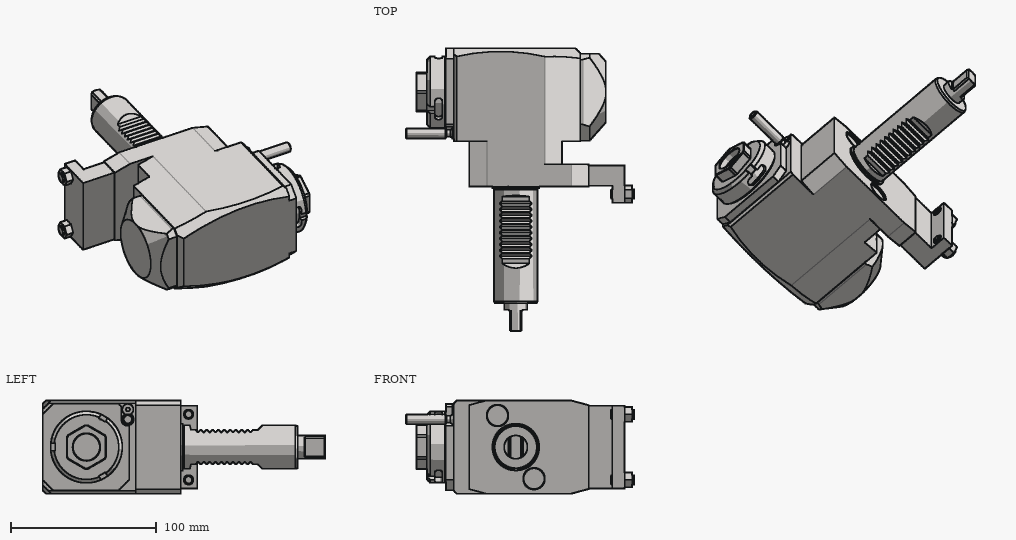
import cadquery as cq
import math


HALF_HEIGHT = 32.0
SLOPE = math.tan(math.radians(15))
FOOT_LEFT = -32.0
FOOT_RIGHT = 50.0
FOOT_THICKNESS = 15.3
FOOT_TAPER_LENGTH = 12.0
NECK_RIGHT = 31.7
SHOULDER_Y = 31.0
HEAD_LEFT = -42.4
HEAD_RIGHT = 44.2
HEAD_BACK = 94.9
HEAD_EDGE_CHAMFER = 1.9
HEAD_CORNER_CHAMFER = 3.3
SLOPE_START = 20.0
CROWN_CENTRE_X = -10.5
CROWN_RADIUS = 133.0
CROWN_BACK = 92.6

SPINDLE_Y = 64.8
CAP_RADIUS = 33.5
CAP_CONE_START = 50.6
CAP_END = 61.7
CAP_END_RADIUS = 21.0
CAP_BACK = 91.1
CAP_SEAT_HALF_HEIGHT = 25.1

PLATE_LEFT = -47.9
PLATE_FRONT = 35.5
PLATE_HALF_HEIGHT = 29.6
PLATE_CORNER = 7.2

RING_LEFT = -61.0
RING_RADIUS = 24.6
RING_FRONT_CHAMFER = 2.4
RING_BACK_CHAMFER = 0.8
RING_NOTCH_FLOOR = 21.4
RING_SLOT_FLOOR = 20.8
RING_SLOT_COUNT = 3
RING_SLOT_X = -52.9
RING_SLOT_WIDTH = 5.2
RING_SLOT_LENGTH = 17.0
RING_NOTCH_WIDTH = 5.3
NUT_LEFT = -68.2
NUT_ACROSS_FLATS = 27.0
NUT_TURNED_DIAMETER = 30.2
NUT_CHAMFER = 0.45
NUT_BORE_DIAMETER = 18.3
NUT_BORE_DEPTH = 5.0
NUT_BORE_CHAMFER = 0.4

PIN_Y = 36.4
PIN_Z = 19.0
PIN_TIP = -75.3
PIN_RADIUS = 3.5
PIN_CHAMFER = 0.7
PIN_SHOULDER = -48.3
PIN_NECK_START = -47.4
PIN_NECK_END = -44.8
PIN_NECK_RADIUS = 2.4
PIN_BASE_RADIUS = 4.0
POCKET_RADIUS = 4.5
SCREW_Z = 25.8
SCREW_HEAD_DIAMETER = 7.6
SCREW_HEAD_HEIGHT = 1.0
SCREW_SOCKET_DIAMETER = 3.0
SCREW_SOCKET_DEPTH = 0.8

SHANK_RADIUS = 15.0
SHANK_LENGTH = 80.0
SHANK_TOP_CHAMFER = 0.9
SHANK_END_CHAMFER_LENGTH = 1.5
SHANK_END_CHAMFER_DEPTH = 0.6
COLLAR_RADIUS = 16.1
COLLAR_HEIGHT = 1.3
TANG_RADIUS = 8.0
TANG_SHOULDER = 5.3
TANG_END = 99.1
TANG_HALF_WIDTH = 4.2
TANG_END_CHAMFER = 0.9
TANG_FLAT_HALF_HEIGHT = 6.2
TANG_ROOT_FLARE = 0.8

FLAT_HEIGHT = 11.8
FLAT_START = 6.9
FLAT_START_RUN = 0.8
FLAT_END = 52.7
TOOTH_DEPTH = 1.7
TOOTH_PITCH = 4.0
FIRST_VALLEY = 11.7
VALLEY_COUNT = 10

RECESS_PITCH_RADIUS = 25.0
RECESS_DIAMETER = 14.2
RECESS_CHAMFER = 0.4
RECESS_DEPTH = 1.5
RECESS_ANGLES = (120, 300)

BRACKET_HALF_HEIGHT = 28.4
BRACKET_FRONT = 0.5
BRACKET_BACK = 14.5
BRACKET_RIGHT = 74.6
BRACKET_LEG_LEFT = 66.3
BRACKET_LEG_FRONT = -11.2
STUD_Y = -5.2
STUD_Z = 22.5
STUD_DIAMETER = 6.5
STUD_CHAMFER = 0.8
STUD_LEFT = 65.0
STUD_RIGHT = 81.08
STUD_NUT_RIGHT = 79.7
STUD_NUT_ACROSS_FLATS = 10.3


def symmetric_prism(upper_points, y_front, y_back):
    """Prism along Y whose XZ outline is the given upper edge and its mirror image below Z = 0."""
    lower_points = [(x, -z) for x, z in reversed(upper_points)]
    plane = cq.Workplane("XZ", origin=(0, y_back, 0))
    return plane.polyline(upper_points + lower_points).close().extrude(y_back - y_front)


def cylinder_x(diameter, x_start, x_end, y, z):
    """Cylinder parallel to X."""
    plane = cq.Workplane("YZ", origin=(x_start, y, z))
    return plane.circle(diameter / 2).extrude(x_end - x_start)


def turned_x(profile, y, z):
    """Solid turned about a line parallel to X; the profile lists (x, radius) pairs."""
    plane = cq.Workplane("XY", origin=(0, y, z))
    return plane.polyline(profile).close().revolve(360, (0, 0, 0), (1, 0, 0))


def sloped_half_height(x):
    return HALF_HEIGHT - (x - SLOPE_START) * SLOPE


def make_foot_and_neck():
    taper_drop = FOOT_TAPER_LENGTH * SLOPE
    left_edge = [
        (FOOT_LEFT, HALF_HEIGHT - taper_drop),
        (FOOT_LEFT + FOOT_TAPER_LENGTH, HALF_HEIGHT),
    ]
    foot_right_edge = [
        (FOOT_RIGHT - FOOT_TAPER_LENGTH, HALF_HEIGHT),
        (FOOT_RIGHT, HALF_HEIGHT - taper_drop),
    ]
    neck_right_edge = [
        (SLOPE_START, HALF_HEIGHT),
        (NECK_RIGHT, sloped_half_height(NECK_RIGHT)),
    ]
    foot = symmetric_prism(left_edge + foot_right_edge, 0, FOOT_THICKNESS)
    neck = symmetric_prism(left_edge + neck_right_edge, 0, SHOULDER_Y)
    return foot.union(neck)


def make_head():
    outline = [
        (HEAD_LEFT, HALF_HEIGHT - HEAD_EDGE_CHAMFER),
        (HEAD_LEFT + HEAD_EDGE_CHAMFER, HALF_HEIGHT),
        (SLOPE_START, HALF_HEIGHT),
        (HEAD_RIGHT, sloped_half_height(HEAD_RIGHT)),
    ]
    head = symmetric_prism(outline, SHOULDER_Y, HEAD_BACK)
    head = head.edges(cq.selectors.NearestToPointSelector((HEAD_RIGHT, HEAD_BACK, 0)))
    head = head.chamfer(HEAD_CORNER_CHAMFER)

    cone_apex = CROWN_RADIUS + HALF_HEIGHT
    crown = (
        cq.Workplane("XZ", origin=(CROWN_CENTRE_X, CROWN_BACK - CROWN_RADIUS, 0))
        .polyline([(0, cone_apex), (cone_apex, 0), (0, -cone_apex)])
        .close()
        .revolve(360, (0, 0, 0), (0, 1, 0))
    )
    return head.intersect(crown)


def make_cap():
    cap = turned_x(
        [
            (HEAD_RIGHT, 0),
            (HEAD_RIGHT, CAP_RADIUS),
            (CAP_CONE_START, CAP_RADIUS),
            (CAP_END, CAP_END_RADIUS),
            (CAP_END, 0),
        ],
        SPINDLE_Y,
        0,
    )
    seat_end = SLOPE_START + (HALF_HEIGHT - CAP_SEAT_HALF_HEIGHT) / SLOPE
    envelope = symmetric_prism(
        [
            (HEAD_RIGHT, CAP_SEAT_HALF_HEIGHT),
            (seat_end, CAP_SEAT_HALF_HEIGHT),
            (CAP_END, sloped_half_height(CAP_END)),
        ],
        SPINDLE_Y - CAP_RADIUS,
        CAP_BACK,
    )
    return cap.intersect(envelope)


def make_plate():
    plate = cq.Workplane("XY").box(
        HEAD_LEFT - PLATE_LEFT,
        HEAD_BACK - PLATE_FRONT,
        2 * PLATE_HALF_HEIGHT,
        centered=(False, False, True),
    )
    plate = plate.edges("|X").chamfer(PLATE_CORNER)
    return plate.translate((PLATE_LEFT, PLATE_FRONT, 0)).cut(make_pin_pocket())


def make_pin_pocket():
    """Round-bottomed pocket through the plate, open toward +Z."""
    depth = HEAD_LEFT - PLATE_LEFT
    bottom = cylinder_x(2 * POCKET_RADIUS, PLATE_LEFT, HEAD_LEFT, PIN_Y, PIN_Z)
    sides = cq.Workplane("XY").box(
        depth, 2 * POCKET_RADIUS, HALF_HEIGHT - PIN_Z, centered=(False, True, False)
    )
    return bottom.union(sides.translate((PLATE_LEFT, PIN_Y, PIN_Z)))


def make_pin_and_screw():
    pin = turned_x(
        [
            (PIN_TIP, 0),
            (PIN_TIP, PIN_RADIUS - PIN_CHAMFER),
            (PIN_TIP + PIN_CHAMFER, PIN_RADIUS),
            (PIN_SHOULDER, PIN_RADIUS),
            (PIN_NECK_START, PIN_NECK_RADIUS),
            (PIN_NECK_END, PIN_NECK_RADIUS),
            (HEAD_LEFT, PIN_BASE_RADIUS),
            (HEAD_LEFT, 0),
        ],
        PIN_Y,
        PIN_Z,
    )
    head_face = HEAD_LEFT - SCREW_HEAD_HEIGHT
    screw = cylinder_x(SCREW_HEAD_DIAMETER, head_face, HEAD_LEFT, PIN_Y, SCREW_Z)
    socket = (
        cq.Workplane("YZ", origin=(head_face, PIN_Y, SCREW_Z))
        .polygon(6, SCREW_SOCKET_DIAMETER)
        .extrude(SCREW_SOCKET_DEPTH)
    )
    return pin.union(screw.cut(socket))


def make_ring_opening():
    """Round-floored slot along the rim with a notch to the front face, on the +Y side."""
    slot = (
        cq.Workplane("XZ", origin=(RING_SLOT_X, SPINDLE_Y, 0))
        .slot2D(RING_SLOT_LENGTH, RING_SLOT_WIDTH, 90)
        .extrude(-RING_RADIUS)
    )
    slot = slot.cut(cylinder_x(2 * RING_SLOT_FLOOR, RING_LEFT, PLATE_LEFT, SPINDLE_Y, 0))
    notch = cq.Workplane("XY").box(
        RING_SLOT_X - RING_LEFT,
        RING_RADIUS - RING_NOTCH_FLOOR,
        RING_NOTCH_WIDTH,
        centered=(False, False, True),
    )
    return slot.union(notch.translate((RING_LEFT, SPINDLE_Y + RING_NOTCH_FLOOR, 0)))


def make_ring():
    ring = cylinder_x(2 * RING_RADIUS, RING_LEFT, PLATE_LEFT, SPINDLE_Y, 0)
    ring = ring.faces("<X").chamfer(RING_FRONT_CHAMFER)
    ring = ring.faces(">X").chamfer(RING_BACK_CHAMFER)
    opening = make_ring_opening()
    for index in range(RING_SLOT_COUNT):
        angle = index * 360 / RING_SLOT_COUNT
        ring = ring.cut(opening.rotate((0, SPINDLE_Y, 0), (1, SPINDLE_Y, 0), angle))
    return ring


def make_nut():
    """Hexagon nut with two corners at +Z and -Z, all corners turned down, and a blind bore."""
    corner_diameter = NUT_ACROSS_FLATS / math.cos(math.radians(30))
    nut = (
        cq.Workplane("YZ", origin=(NUT_LEFT, SPINDLE_Y, 0))
        .transformed(rotate=(0, 0, 30))
        .polygon(6, corner_diameter)
        .extrude(RING_LEFT - NUT_LEFT)
    )
    nut = nut.intersect(cylinder_x(NUT_TURNED_DIAMETER, NUT_LEFT, RING_LEFT, SPINDLE_Y, 0))
    nut = nut.faces("<X").chamfer(NUT_CHAMFER)
    bore = cylinder_x(NUT_BORE_DIAMETER, NUT_LEFT, NUT_LEFT + NUT_BORE_DEPTH, SPINDLE_Y, 0)
    nut = nut.cut(bore)
    rim = nut.faces("<X").edges("%CIRCLE").edges(cq.selectors.RadiusNthSelector(0))
    return rim.chamfer(NUT_BORE_CHAMFER)


def make_serration_cutter():
    """Material above the serrated flat on the +Z side of the shank."""
    flat_start_top = FLAT_START - FLAT_START_RUN
    end_rise = SHANK_RADIUS - FLAT_HEIGHT
    points = [(-flat_start_top, SHANK_RADIUS), (-FLAT_START, FLAT_HEIGHT)]
    for index in range(VALLEY_COUNT):
        valley = FIRST_VALLEY + index * TOOTH_PITCH
        points.append((-valley + TOOTH_DEPTH, FLAT_HEIGHT))
        points.append((-valley, FLAT_HEIGHT - TOOTH_DEPTH))
        points.append((-valley - TOOTH_DEPTH, FLAT_HEIGHT))
    points.append((-FLAT_END, FLAT_HEIGHT))
    points.append((-FLAT_END - end_rise, SHANK_RADIUS))
    return cq.Workplane("YZ").polyline(points).close().extrude(SHANK_RADIUS, both=True)


def make_tang():
    """Flat driving tang with bevelled edges, widening at its root."""
    root = -SHANK_LENGTH - TANG_SHOULDER
    flare_half_width = TANG_HALF_WIDTH + TANG_ROOT_FLARE
    end_half_width = TANG_HALF_WIDTH - TANG_END_CHAMFER
    right_side = [
        (TANG_HALF_WIDTH, root),
        (TANG_HALF_WIDTH, -TANG_END + TANG_END_CHAMFER),
        (end_half_width, -TANG_END),
    ]
    left_side = [(-x, y) for x, y in reversed(right_side)]
    tang = cq.Workplane("XY").polyline(right_side + left_side).close()
    tang = tang.extrude(TANG_RADIUS, both=True)
    tang = tang.edges("|Y").chamfer(TANG_RADIUS - TANG_FLAT_HALF_HEIGHT)
    flare = (
        cq.Workplane("XY")
        .polyline(
            [
                (flare_half_width, root + TANG_ROOT_FLARE),
                (TANG_HALF_WIDTH, root),
                (-TANG_HALF_WIDTH, root),
                (-flare_half_width, root + TANG_ROOT_FLARE),
            ]
        )
        .close()
        .extrude(TANG_RADIUS, both=True)
    )
    round_bar = cq.Workplane("XZ").circle(TANG_RADIUS).extrude(TANG_END)
    return tang.union(flare).intersect(round_bar)


def make_shank():
    shoulder = -SHANK_LENGTH - TANG_SHOULDER + TANG_ROOT_FLARE
    profile = [
        (0, 0),
        (COLLAR_RADIUS, 0),
        (COLLAR_RADIUS, -COLLAR_HEIGHT),
        (SHANK_RADIUS - SHANK_TOP_CHAMFER, -COLLAR_HEIGHT),
        (SHANK_RADIUS, -COLLAR_HEIGHT - SHANK_TOP_CHAMFER),
        (SHANK_RADIUS, -SHANK_LENGTH + SHANK_END_CHAMFER_LENGTH),
        (SHANK_RADIUS - SHANK_END_CHAMFER_DEPTH, -SHANK_LENGTH),
        (TANG_RADIUS, -SHANK_LENGTH),
        (TANG_RADIUS, shoulder),
        (0, shoulder),
    ]
    shank = cq.Workplane("XY").polyline(profile).close().revolve(360, (0, 0, 0), (0, 1, 0))
    serration = make_serration_cutter()
    shank = shank.cut(serration).cut(serration.mirror("XY"))
    return shank.union(make_tang())


def make_bracket():
    outline = [
        (FOOT_RIGHT, BRACKET_FRONT),
        (BRACKET_LEG_LEFT, BRACKET_FRONT),
        (BRACKET_LEG_LEFT, BRACKET_LEG_FRONT),
        (BRACKET_RIGHT, BRACKET_LEG_FRONT),
        (BRACKET_RIGHT, BRACKET_BACK),
        (FOOT_RIGHT, BRACKET_BACK),
    ]
    bracket = cq.Workplane("XY").polyline(outline).close().extrude(BRACKET_HALF_HEIGHT, both=True)
    for z in (STUD_Z, -STUD_Z):
        bracket = bracket.union(make_stud(z))
    return bracket


def make_stud(z):
    """Stud through the bracket leg with a hexagon nut on the right-hand side."""
    stud = cylinder_x(STUD_DIAMETER, STUD_LEFT, STUD_RIGHT, STUD_Y, z)
    stud = stud.faces("<X").chamfer(STUD_CHAMFER)
    corner_diameter = STUD_NUT_ACROSS_FLATS / math.cos(math.radians(30))
    nut = (
        cq.Workplane("YZ", origin=(BRACKET_RIGHT, STUD_Y, z))
        .polygon(6, corner_diameter)
        .extrude(STUD_NUT_RIGHT - BRACKET_RIGHT)
    )
    return stud.union(nut)


def make_recess(angle_degrees):
    """Chamfered round recess at an angle about the shank axis, measured from +X toward +Z."""
    angle = math.radians(angle_degrees)
    x = RECESS_PITCH_RADIUS * math.cos(angle)
    z = RECESS_PITCH_RADIUS * math.sin(angle)
    radius = RECESS_DIAMETER / 2
    profile = [
        (0, 0),
        (radius + RECESS_CHAMFER, 0),
        (radius, RECESS_CHAMFER),
        (radius, RECESS_DEPTH),
        (0, RECESS_DEPTH),
    ]
    plane = cq.Workplane("XY", origin=(x, 0, z))
    return plane.polyline(profile).close().revolve(360, (0, 0, 0), (0, 1, 0))


housing = make_foot_and_neck().union(make_head())
for recess_angle in RECESS_ANGLES:
    housing = housing.cut(make_recess(recess_angle))

result = (
    housing.union(make_cap())
    .union(make_plate())
    .union(make_pin_and_screw())
    .union(make_ring())
    .union(make_nut())
    .union(make_shank())
    .union(make_bracket())
)